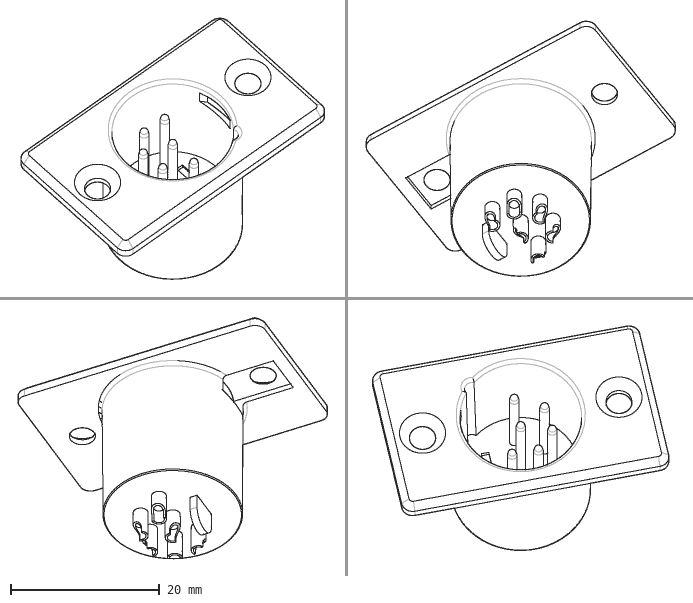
import cadquery as cq
import math


flange_width = 22.0
flange_length = 36.7
flange_thickness = 2.2
flange_corner_radius = 1.5
flange_chamfer = 1.0

mount_offset = 13.5
mount_hole_diameter = 3.5
countersink_diameter = 6.2
countersink_angle = 90.0

overall_height = 25.2
shell_depth = 20.85
shell_top_radius = 9.53
shell_bottom_radius = 9.4
shell_root_fillet = 0.5
shell_end_chamfer = 0.15

bore_top_radius = 8.2
bore_floor_radius = 7.9
bore_depth = 15.0
mouth_fillet = 0.5

groove_radius = 1.0
groove_axis_radius = 7.83
groove_angle = 45.0

window_width = 6.2
window_inner_y = 7.0
window_outer_y = 10.5
window_top_depth = 1.4
sill_inner_depth = 2.6
recess_end_y = 16.5

contact_y = 4.2
contact_thickness = 1.04
contact_slot_width = 6.74
contact_end_gap = 0.15
contact_slot_depth = 1.0
contact_sink = 0.3
tab_width = 4.5

pins = [
    (-3.91, 2.0, 150),
    (-4.0, -1.6, 205),
    (-1.4, -4.05, 270),
    (2.2, -3.73, 303),
    (4.3, 0.0, 0),
    (0.0, 0.0, 90),
]
pin_diameter = 1.3
pin_tip_depth = 2.4
pin_neck_diameter = 1.06
pin_taper_height = 0.65
pin_dome_height = 0.4
cup_diameter = 2.02
cup_hole_diameter = 1.45
cup_end_depth = 24.9
cup_lip_height = 0.55
cup_cut_radius = 1.5

selection_margin = 0.1

top_z = flange_thickness
shell_end_z = top_z - shell_depth
floor_z = top_z - bore_depth
cup_end_z = top_z - cup_end_depth
tab_end_z = top_z - overall_height


def make_flange():
    plate = cq.Workplane("XY").rect(flange_width, flange_length).extrude(flange_thickness)
    plate = plate.edges("|Z").fillet(flange_corner_radius)
    return plate.faces(">Z").chamfer(flange_chamfer)


def cone(z_bottom, bottom_radius, z_top, top_radius):
    height = z_top - z_bottom
    solid = cq.Solid.makeCone(bottom_radius, top_radius, height, cq.Vector(0, 0, z_bottom))
    return cq.Workplane(obj=solid)


def ring_selector(radius, z):
    """Selects the edges at height z that lie in a square of this half-width about the shell axis."""
    return cq.selectors.BoxSelector(
        (-radius - selection_margin, -radius - selection_margin, z - selection_margin),
        (radius + selection_margin, radius + selection_margin, z + selection_margin),
        boundingbox=True,
    )


def make_shell():
    barrel = cone(shell_end_z, shell_bottom_radius, 0, shell_top_radius)
    barrel = barrel.faces("<Z").chamfer(shell_end_chamfer)
    shell = make_flange().union(barrel)
    return shell.edges(ring_selector(shell_top_radius, 0)).fillet(shell_root_fillet)


def cut_bore(body):
    angle = math.radians(groove_angle)
    groove_x = groove_axis_radius * math.cos(angle)
    groove_y = groove_axis_radius * math.sin(angle)
    groove = (
        cq.Workplane("XY", origin=(groove_x, groove_y, floor_z))
        .circle(groove_radius)
        .extrude(bore_depth)
    )
    bore = cone(floor_z, bore_floor_radius, top_z, bore_top_radius).union(groove)
    body = body.cut(bore)
    return body.edges(ring_selector(bore_top_radius, top_z)).fillet(mouth_fillet)


def cut_mounting_holes(body):
    return (
        body.faces(">Z")
        .workplane(origin=(0, 0, top_z))
        .pushPoints([(0, mount_offset), (0, -mount_offset)])
        .cskHole(mount_hole_diameter, countersink_diameter, countersink_angle)
    )


def cut_window(body):
    sill_outer_depth = sill_inner_depth + window_outer_y - window_inner_y
    window = (
        cq.Workplane("YZ")
        .moveTo(window_inner_y, top_z - window_top_depth)
        .lineTo(recess_end_y, top_z - window_top_depth)
        .lineTo(recess_end_y, 0)
        .lineTo(window_outer_y, 0)
        .lineTo(window_outer_y, top_z - sill_outer_depth)
        .lineTo(window_inner_y, top_z - sill_inner_depth)
        .close()
        .extrude(window_width / 2, both=True)
    )
    return body.cut(window)


def add_ground_contact(body):
    plate_width = contact_slot_width - 2 * contact_end_gap
    slot = (
        cq.Workplane("XY", origin=(0, contact_y, floor_z))
        .rect(contact_slot_width, contact_thickness)
        .extrude(-contact_slot_depth)
    )
    plate = (
        cq.Workplane("XY", origin=(0, contact_y, floor_z - contact_slot_depth))
        .rect(plate_width, contact_thickness)
        .extrude(contact_slot_depth - contact_sink)
    )
    half_width = tab_width / 2
    round_start_z = tab_end_z + half_width
    tab = (
        cq.Workplane("XZ", origin=(0, contact_y, 0))
        .moveTo(-half_width, shell_end_z)
        .lineTo(-half_width, round_start_z)
        .threePointArc((0, tab_end_z), (half_width, round_start_z))
        .lineTo(half_width, shell_end_z)
        .close()
        .extrude(contact_thickness / 2, both=True)
    )
    return body.cut(slot).union(plate).union(tab)


def make_pin():
    """Pin on the Z axis: a cylinder with a tapered neck and a domed tip."""
    tip_z = top_z - pin_tip_depth
    dome_z = tip_z - pin_dome_height
    taper_z = dome_z - pin_taper_height
    neck_radius = pin_neck_diameter / 2
    dome_radius = (neck_radius**2 + pin_dome_height**2) / (2 * pin_dome_height)
    half_angle = math.asin(neck_radius / dome_radius) / 2
    dome_middle = (
        dome_radius * math.sin(half_angle),
        tip_z - dome_radius * (1 - math.cos(half_angle)),
    )
    return (
        cq.Workplane("XZ")
        .moveTo(0, floor_z)
        .lineTo(pin_diameter / 2, floor_z)
        .lineTo(pin_diameter / 2, taper_z)
        .lineTo(neck_radius, dome_z)
        .threePointArc(dome_middle, (0, tip_z))
        .close()
        .revolve()
    )


def make_solder_cup():
    """Solder cup on the Z axis with its open side facing +X."""
    cup_radius = cup_diameter / 2
    lip_z = cup_end_z + cup_lip_height
    cut_top_z = lip_z + cup_cut_radius
    cup = cq.Workplane("XY", origin=(0, 0, cup_end_z)).circle(cup_radius)
    cup = cup.extrude(shell_end_z - cup_end_z)
    hole = cq.Workplane("XY", origin=(0, 0, cup_end_z)).circle(cup_hole_diameter / 2)
    hole = hole.extrude(cut_top_z - cup_end_z)
    arc_middle = cup_cut_radius * math.sqrt(0.5)
    opening = (
        cq.Workplane("XZ")
        .moveTo(0, cup_end_z)
        .lineTo(0, lip_z)
        .threePointArc((cup_cut_radius - arc_middle, lip_z + arc_middle), (cup_cut_radius, cut_top_z))
        .lineTo(cup_cut_radius, cup_end_z)
        .close()
        .extrude(cup_diameter, both=True)
    )
    return cup.cut(hole).cut(opening)


def add_pins(body):
    contact_pin = make_pin()
    solder_cup = make_solder_cup()
    for x, y, cup_direction in pins:
        turned_cup = solder_cup.rotate((0, 0, 0), (0, 0, 1), cup_direction)
        body = body.union(contact_pin.translate((x, y, 0)))
        body = body.union(turned_cup.translate((x, y, 0)))
    return body


connector = make_shell()
connector = cut_bore(connector)
connector = cut_mounting_holes(connector)
connector = cut_window(connector)
connector = add_ground_contact(connector)
result = add_pins(connector)